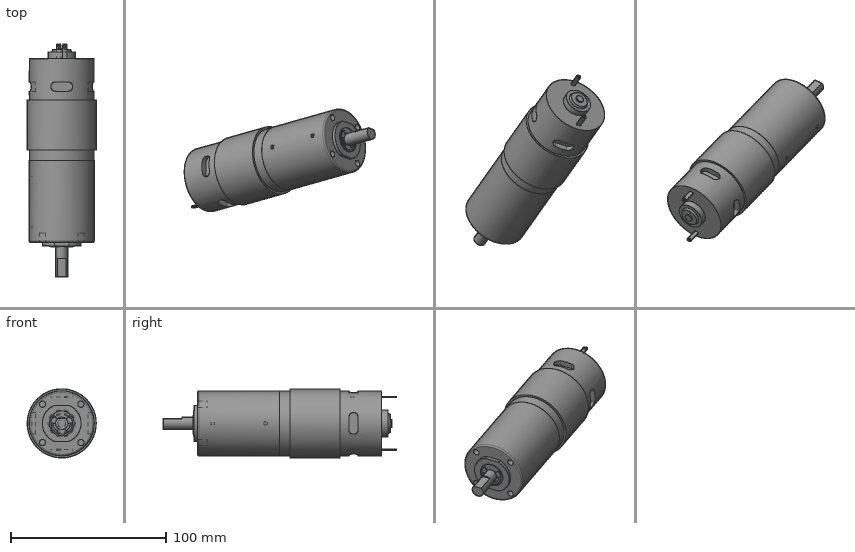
import cadquery as cq
import math


gearbox_dia = 42.0
gearbox_length = 52.75
front_rounding = 1.0

mount_hole_dia = 4.0
mount_hole_depth = 6.0
mount_circle_dia = 35.0

side_hole_dia = 2.4
side_hole_depth = 2.0
side_hole_places = (9.65, 43.85)

pilot_dia = 25.0
pilot_across_flats = 23.2
pilot_height = 2.25

washer_dia = 16.0
washer_height = 0.4

clip_dia = 14.0
clip_height = 0.4
clip_mouth_angle = 90.0
clip_relief_dia = 11.2
clip_relief_angle = 60.0

shaft_dia = 8.0
shaft_length = 22.25
shaft_flat_length = 12.0
shaft_flat_depth = 1.0

motor_dia = 41.9
motor_length = 65.8
motor_front = gearbox_length
motor_back = motor_front + motor_length

sleeve_dia = 44.6
sleeve_start = motor_front + 6.7
sleeve_length = 32.3

vent_length = 14.0
vent_width = 6.0
vent_centre = motor_front + 47.7
vent_floor_radius = 17.0

hub_dia = 17.5
hub_height = 4.3
cap_dia = 13.0
cap_height = 1.4
cap_top_dia = 11.6
stub_dia = 5.0
stub_height = 0.9

terminal_width = 2.8
terminal_thickness = 0.8
terminal_length = 9.5
terminal_corner = 1.0
terminal_side_offset = 2.0
terminal_height = 17.0
terminal_hole_dia = 1.2
terminal_hole_from_end = 1.5


def plane_facing_front(y):
    """Work plane at the given Y, with its normal along -Y and local x, y along X, Z."""
    return cq.Workplane("XZ", origin=(0, y, 0))


def disc(diameter, y_start, length):
    """Cylinder on the motor axis running from y_start towards +Y."""
    return plane_facing_front(y_start).circle(diameter / 2).extrude(-length)


def sector(radius, start_angle, sweep, y_start, length):
    """Pie slice about the motor axis; angles in degrees from +X towards +Z."""
    def rim_point(angle):
        turn = math.radians(angle)
        return radius * math.cos(turn), radius * math.sin(turn)

    return (
        plane_facing_front(y_start)
        .lineTo(*rim_point(start_angle))
        .threePointArc(rim_point(start_angle + sweep / 2), rim_point(start_angle + sweep))
        .close()
        .extrude(-length)
    )


def make_gearbox_case():
    case = disc(gearbox_dia, 0, gearbox_length).faces("<Y").edges().fillet(front_rounding)
    mount_holes = (
        plane_facing_front(0)
        .polarArray(mount_circle_dia / 2, 45, 360, 4)
        .circle(mount_hole_dia / 2)
        .extrude(-mount_hole_depth)
    )
    side_holes = (
        cq.Workplane("YZ", origin=(-gearbox_dia / 2, 0, 0))
        .pushPoints([(place, 0) for place in side_hole_places])
        .circle(side_hole_dia / 2)
        .extrude(side_hole_depth)
    )
    return case.cut(mount_holes).cut(side_holes)


def make_pilot():
    """Round pilot boss with a flat above and below."""
    flats = cq.Workplane("XY").box(pilot_dia, 2 * pilot_height, pilot_across_flats)
    return disc(pilot_dia, -pilot_height, pilot_height).intersect(flats)


def make_clip(y_start):
    """Open retaining clip: mouth at the top, two curved reliefs beside the shaft."""
    clip = disc(clip_dia, y_start, clip_height)
    clip = clip.cut(sector(clip_dia, 90 - clip_mouth_angle / 2, clip_mouth_angle, y_start, clip_height))
    for start_angle in (180, 360 - clip_relief_angle):
        clip = clip.cut(sector(clip_relief_dia / 2, start_angle, clip_relief_angle, y_start, clip_height))
    return clip


def make_shaft():
    """Output shaft with a flat on its +Z side."""
    shaft = disc(shaft_dia, -shaft_length, shaft_length)
    flat_cut = cq.Workplane("XY").box(
        shaft_dia, shaft_flat_length, shaft_flat_depth, centered=(True, False, False)
    )
    return shaft.cut(flat_cut.translate((0, -shaft_length, shaft_dia / 2 - shaft_flat_depth)))


def make_gearbox():
    washer_front = -pilot_height - washer_height
    clip_front = washer_front - clip_height
    return (
        make_gearbox_case()
        .union(make_pilot())
        .union(disc(washer_dia, washer_front, washer_height))
        .union(make_clip(clip_front))
        .union(make_shaft())
    )


def make_vent():
    """Slot cutter above the axis, flat-bottomed and long across X."""
    return (
        cq.Workplane("XY", origin=(0, vent_centre, vent_floor_radius))
        .slot2D(vent_length, vent_width)
        .extrude(motor_dia / 2 - vent_floor_radius)
    )


def make_terminal(x, z):
    """Flat solder tab with rounded end corners and a wire hole, pointing to +Y."""
    tab = (
        cq.Workplane("XY")
        .box(terminal_width, terminal_length, terminal_thickness, centered=(True, False, True))
        .edges("|Z and >Y")
        .fillet(terminal_corner)
    )
    hole = (
        cq.Workplane("XY", origin=(0, terminal_length - terminal_hole_from_end, 0))
        .circle(terminal_hole_dia / 2)
        .extrude(terminal_thickness, both=True)
    )
    return tab.cut(hole).translate((x, motor_back, z))


def make_cap(y_start):
    """Tapered bearing cap, narrowing towards +Y."""
    return (
        plane_facing_front(y_start)
        .circle(cap_dia / 2)
        .workplane(offset=-cap_height)
        .circle(cap_top_dia / 2)
        .loft()
    )


def make_motor():
    motor = disc(motor_dia, motor_front, motor_length)
    motor = motor.union(disc(sleeve_dia, sleeve_start, sleeve_length))

    for turn in (0, 90, 180, 270):
        motor = motor.cut(make_vent().rotate((0, 0, 0), (0, 1, 0), turn))

    cap_start = motor_back + hub_height
    motor = motor.union(disc(hub_dia, motor_back, hub_height))
    motor = motor.union(make_cap(cap_start))
    motor = motor.union(disc(stub_dia, cap_start + cap_height, stub_height))

    for side in (1, -1):
        motor = motor.union(make_terminal(side * terminal_side_offset, side * terminal_height))
    return motor


gearbox = make_gearbox()
motor = make_motor()

result = cq.Compound.makeCompound([*gearbox.solids().vals(), *motor.solids().vals()])